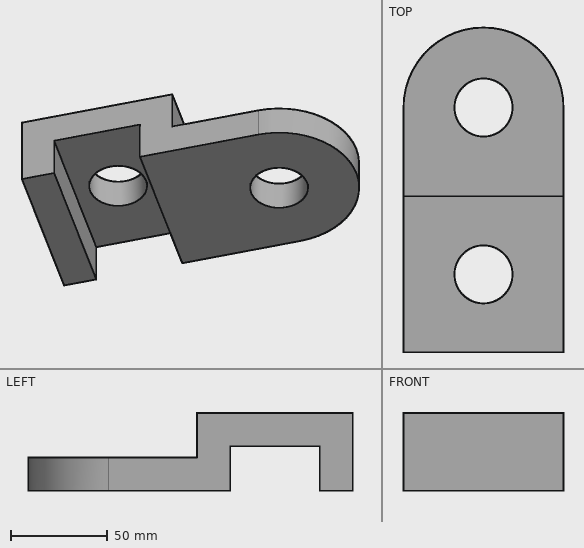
import cadquery as cq

length = 169.1
width = 83.4
height = 40.6

thickness = 17.5
block_length = 81.2
hole_diameter = 30.1

end_radius = width / 2
tongue_hole_y = length - end_radius
block_hole_y = block_length / 2
channel_length = block_length - 2 * thickness
channel_height = height - thickness


def box_from_front(size_y, size_z, start_y=0):
    """Full-width box resting on Z = 0, centred on X and starting at start_y."""
    return (
        cq.Workplane("XY")
        .box(width, size_y, size_z, centered=(True, False, False))
        .translate((0, start_y, 0))
    )


block = box_from_front(block_length, height)
channel = box_from_front(channel_length, channel_height, thickness)
bridge = block.cut(channel)

tongue_straight = box_from_front(tongue_hole_y - block_length, thickness, block_length)
tongue_end = cq.Workplane("XY").center(0, tongue_hole_y).circle(end_radius).extrude(thickness)
tongue = tongue_straight.union(tongue_end)

holes = (
    cq.Workplane("XY")
    .pushPoints([(0, block_hole_y), (0, tongue_hole_y)])
    .circle(hole_diameter / 2)
    .extrude(height)
)

result = bridge.union(tongue).cut(holes)